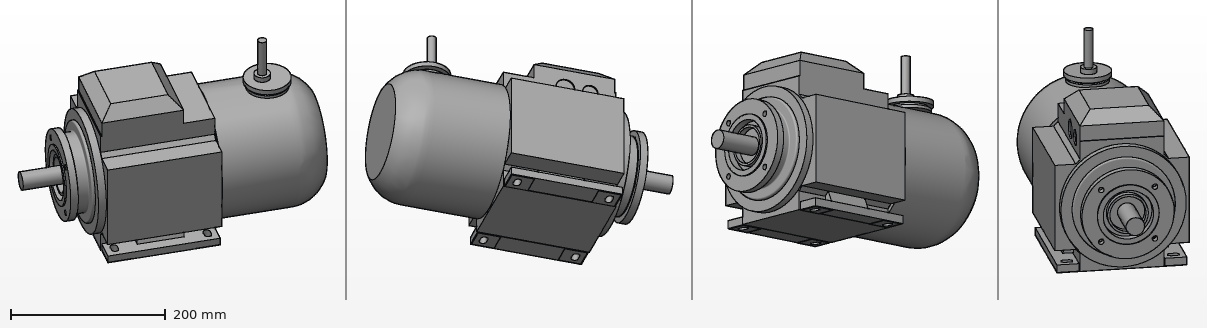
import cadquery as cq
import math


total_length = 394.0
shaft_reach = 91.8
rear_y = total_length - shaft_reach

housing_width = 177.0
housing_length = 153.3
core_half_width = 55.0
core_half_height = 89.0
side_half_height = 58.5
corner_chamfer = 6.0

box_front_y = 1.5
box_length = 110.0
box_top_z = 126.0
box_bevel = 16.5
knockout_depth = 2.0
knockout_z = 82.7
knockouts = ((34.5, 10.2), (68.5, 12.5))

foot_top_z = -78.5
foot_outer_x = 85.5
foot_gap = 1.0
foot_inset = 1.0
pad_height = 0.8
pad_inset = 1.0
pad_length = 30.7
rib_length = 63.0
rib_foot_x = 69.7
hole_x = 70.0
hole_spacing_y = 125.0
hole_width = 9.5
hole_length = 15.5

cover_radius = 88.3
cover_seat_radius = 82.7
cover_seat_length = 1.0
dome_length = 44.0
dome_radius = 51.2

end_plate_radius = 82.5
end_plate_y = -10.5
ring_radius = 67.8
ring_y = -14.5
ring_fillet = 2.5
neck_radius = 53.0
neck_root_fillet = 1.5
neck_undercut_radius = 52.0
neck_undercut_length = 1.0
flange_radius = 60.5
flange_back_y = -31.5
flange_y = -41.8
spigot_radius = 40.5
spigot_y = -43.7
seal_groove_radius = 33.0
seal_ring_radius = 26.8
seal_bore_radius = 23.5
seal_ring_recess = 3.0
seal_depth = 12.0
shaft_radius = 12.2
bolt_hole_radius = 3.5
bolt_circle_radius = 50.0
bolt_hole_depth = flange_back_y - flange_y

base_y = 239.0
lever_y = 232.5
base_root_z = 87.5
base_lower_radius, base_lower_z = 28.5, 91.5
base_neck_radius, base_neck_z = 23.5, 95.0
base_disc_radius, base_disc_z = 31.0, 101.5
lever_boss_radius, lever_boss_z = 10.5, 108.7
lever_radius, lever_top_z = 6.0, 160.5


def block(x_range, y_range, z_range):
    """Box spanning the given (low, high) ranges."""
    (x0, x1), (y0, y1), (z0, z1) = x_range, y_range, z_range
    return cq.Workplane("XY").box(x1 - x0, y1 - y0, z1 - z0, centered=False).translate((x0, y0, z0))


def disc_y(radius, y_front, y_back):
    """Cylinder on the shaft axis between two Y positions."""
    return cq.Workplane("XZ", origin=(0, y_back, 0)).circle(radius).extrude(y_back - y_front)


def post_z(y, radius, z_low, z_high):
    """Upright cylinder in the middle plane of the motor."""
    return cq.Workplane("XY", origin=(0, y, z_low)).circle(radius).extrude(z_high - z_low)


def prism_y(points, y_front, y_back):
    """Closed X-Z outline extended between two Y positions."""
    return cq.Workplane("XZ", origin=(0, y_back, 0)).polyline(points).close().extrude(y_back - y_front)


def make_housing():
    core = block((-core_half_width, core_half_width), (0, housing_length),
                 (-core_half_height, core_half_height))
    sides = block((-housing_width / 2, housing_width / 2), (0, housing_length),
                  (-side_half_height, side_half_height))
    strip_x = core_half_width + corner_chamfer
    strip_z = side_half_height + corner_chamfer
    corners = block((-strip_x, strip_x), (0, housing_length), (-strip_z, strip_z))
    corners = corners.edges("|Y").chamfer(corner_chamfer)
    return core.union(sides).union(corners)


def make_terminal_box():
    box = block((-core_half_width, core_half_width), (box_front_y, box_front_y + box_length),
                (0, box_top_z))
    return box.faces(">Z").chamfer(box_bevel)


def make_knockout(y, radius):
    plane = cq.Workplane("YZ", origin=(-core_half_width, y, knockout_z))
    return plane.circle(radius).extrude(knockout_depth)


def make_left_foot():
    x_range = (-foot_outer_x, -core_half_width - foot_gap)
    y_low, y_high = foot_inset, housing_length - foot_inset
    foot = block(x_range, (y_low, y_high), (-core_half_height, foot_top_z))

    pad_x = (x_range[0] + pad_inset, x_range[1])
    pad_z = (-core_half_height - pad_height, -core_half_height)
    front_pad_y = y_low + pad_inset
    rear_pad_y = y_high - pad_inset - pad_length
    for y in (front_pad_y, rear_pad_y):
        foot = foot.union(block(pad_x, (y, y + pad_length), pad_z))

    middle_y = housing_length / 2
    rib_outline = [
        (-core_half_width, -side_half_height),
        (-core_half_width - corner_chamfer, -side_half_height),
        (-rib_foot_x, foot_top_z),
        (-core_half_width, foot_top_z),
    ]
    rib = prism_y(rib_outline, middle_y - rib_length / 2, middle_y + rib_length / 2)

    slots = (
        cq.Workplane("XY", origin=(-hole_x, middle_y, pad_z[0]))
        .rarray(4, hole_spacing_y, 1, 2)
        .slot2D(hole_length, hole_width)
        .extrude(foot_top_z - pad_z[0])
    )
    return foot.union(rib).cut(slots)


def make_fan_cover():
    dome_y = rear_y - dome_length
    arc_center_r = cover_radius - dome_radius
    rear_radius = arc_center_r + math.sqrt(dome_radius**2 - dome_length**2)
    half_angle = math.asin(dome_length / dome_radius) / 2
    arc_middle = (arc_center_r + dome_radius * math.cos(half_angle),
                  dome_y + dome_radius * math.sin(half_angle))
    cover_front_y = housing_length + cover_seat_length
    cover = (
        cq.Workplane("XY")
        .moveTo(0, cover_front_y)
        .lineTo(cover_radius, cover_front_y)
        .lineTo(cover_radius, dome_y)
        .threePointArc(arc_middle, (rear_radius, rear_y))
        .lineTo(0, rear_y)
        .close()
        .revolve(360, (0, 0, 0), (0, 1, 0))
    )
    return cover.union(disc_y(cover_seat_radius, housing_length, cover_front_y))


def make_drive_end():
    neck_front_y = flange_back_y + neck_undercut_length
    ring_and_neck = (
        cq.Workplane("XY")
        .moveTo(0, end_plate_y)
        .lineTo(ring_radius, end_plate_y)
        .lineTo(ring_radius, ring_y + ring_fillet)
        .radiusArc((ring_radius - ring_fillet, ring_y), ring_fillet)
        .lineTo(neck_radius + neck_root_fillet, ring_y)
        .radiusArc((neck_radius, ring_y - neck_root_fillet), -neck_root_fillet)
        .lineTo(neck_radius, neck_front_y)
        .lineTo(0, neck_front_y)
        .close()
        .revolve(360, (0, 0, 0), (0, 1, 0))
    )

    end = (
        ring_and_neck
        .union(disc_y(end_plate_radius, end_plate_y, 0))
        .union(disc_y(neck_undercut_radius, flange_back_y, neck_front_y))
        .union(disc_y(flange_radius, flange_y, flange_back_y))
        .union(disc_y(spigot_radius, spigot_y, flange_y))
    )

    seal_floor_y = spigot_y + seal_depth
    seal_face_y = spigot_y + seal_ring_recess
    seal_ring = disc_y(seal_ring_radius, seal_face_y, seal_floor_y)
    seal_ring = seal_ring.cut(disc_y(seal_bore_radius, seal_face_y, seal_floor_y))
    end = end.cut(disc_y(seal_groove_radius, spigot_y, seal_floor_y)).union(seal_ring)

    bolt_holes = (
        cq.Workplane("XZ", origin=(0, flange_y + bolt_hole_depth, 0))
        .polarArray(bolt_circle_radius, 45, 360, 4)
        .circle(bolt_hole_radius)
        .extrude(bolt_hole_depth)
    )
    return end.cut(bolt_holes).union(disc_y(shaft_radius, -shaft_reach, seal_floor_y))


def make_brake_lever():
    base = post_z(base_y, base_lower_radius, base_root_z, base_lower_z)
    base = base.union(post_z(base_y, base_neck_radius, base_lower_z, base_neck_z))
    base = base.union(post_z(base_y, base_disc_radius, base_neck_z, base_disc_z))
    base = base.union(post_z(lever_y, lever_boss_radius, base_disc_z, lever_boss_z))
    return base.union(post_z(lever_y, lever_radius, lever_boss_z, lever_top_z))


left_foot = make_left_foot()

result = make_housing().union(make_terminal_box())
for knockout_y, knockout_radius in knockouts:
    result = result.cut(make_knockout(knockout_y, knockout_radius))
result = (
    result
    .union(left_foot)
    .union(left_foot.mirror("YZ"))
    .union(make_fan_cover())
    .union(make_drive_end())
    .union(make_brake_lever())
)